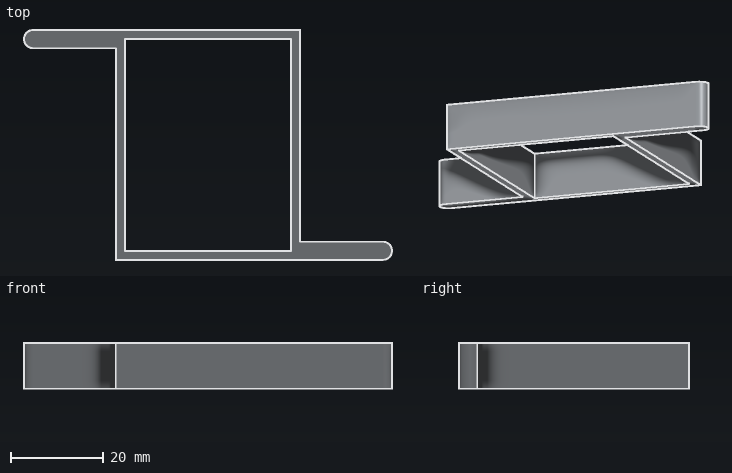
import cadquery as cq

frame_width = 40.0
frame_depth = 50.0
height = 10.0
wall = 2.0
arm_reach = 20.0
arm_thickness = 4.0

tip_radius = arm_thickness / 2
arm_center_y = (frame_depth - arm_thickness) / 2
tip_center_x = frame_width / 2 + arm_reach - tip_radius


def make_block(width, depth):
    """Upright block centred on the origin."""
    return cq.Workplane("XY").box(width, depth, height)


def make_arm(side):
    """Round-tipped arm at the +X, -Y corner (side = 1) or the -X, +Y corner (side = -1)."""
    root_x = side * (frame_width / 2 - wall)
    tip_x = side * tip_center_x
    center_y = -side * arm_center_y
    bar = make_block(abs(tip_x - root_x), arm_thickness).translate(((root_x + tip_x) / 2, center_y, 0))
    tip = cq.Workplane("XY").circle(tip_radius).extrude(height / 2, both=True)
    return bar.union(tip.translate((tip_x, center_y, 0)))


frame = make_block(frame_width, frame_depth)
for side in (1, -1):
    frame = frame.union(make_arm(side))

window = make_block(frame_width - 2 * wall, frame_depth - 2 * wall)
result = frame.cut(window).clean()